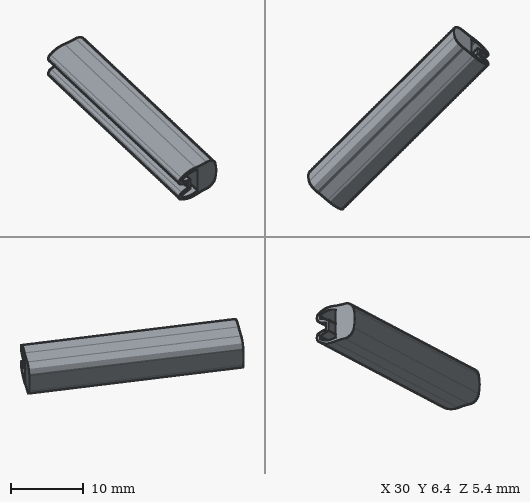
import cadquery as cq

length = 30.0
depth = 6.4
height = 5.4
back_y = depth / 2
front_y = -depth / 2
top_z = height / 2

back_edge = (3.03, 1.38)
corner_mid = (2.58, 2.2)
corner_end = (1.5, 2.58)
waist_mid = (0.6, 2.58)
crown_start = (-0.4, 2.67)
crown_peak = (-0.9, top_z)
crown_end = (-2.82, 2.1)
nose_tip = (front_y, 1.53)
nose_end = (-2.75, 0.78)

groove_floor_y = -1.68
groove_half_width = 0.48

wall = 0.45
chamber_back = (-0.03, 2.05)
chamber_peak = (-1.02, 2.22)
chamber_nose_y = -2.67
chamber_nose_top_z = 1.68
chamber_nose_bottom_z = 1.3
chamber_step = (groove_floor_y + wall, 0.8)


def mirrored(point):
    """Reflect a profile point about the plane Z = 0."""
    return (point[0], -point[1])


def outer_body():
    groove_corner = (groove_floor_y, groove_half_width)
    return (
        cq.Workplane("YZ")
        .moveTo(*mirrored(back_edge))
        .threePointArc((back_y, 0), back_edge)
        .threePointArc(corner_mid, corner_end)
        .threePointArc(waist_mid, crown_start)
        .threePointArc(crown_peak, crown_end)
        .threePointArc(nose_tip, nose_end)
        .lineTo(*groove_corner)
        .lineTo(*mirrored(groove_corner))
        .lineTo(*mirrored(nose_end))
        .threePointArc(mirrored(nose_tip), mirrored(crown_end))
        .threePointArc(mirrored(crown_peak), mirrored(crown_start))
        .threePointArc(mirrored(waist_mid), mirrored(corner_end))
        .threePointArc(mirrored(corner_mid), mirrored(back_edge))
        .close()
        .extrude(length / 2, both=True)
    )


def chamber():
    nose_top = (chamber_nose_y, chamber_nose_top_z)
    nose_bottom = (chamber_nose_y, chamber_nose_bottom_z)
    return (
        cq.Workplane("YZ")
        .moveTo(*mirrored(chamber_back))
        .lineTo(*chamber_back)
        .threePointArc(chamber_peak, nose_top)
        .lineTo(*nose_bottom)
        .lineTo(*chamber_step)
        .lineTo(*mirrored(chamber_step))
        .lineTo(*mirrored(nose_bottom))
        .lineTo(*mirrored(nose_top))
        .threePointArc(mirrored(chamber_peak), mirrored(chamber_back))
        .close()
        .extrude(length / 2, both=True)
    )


result = outer_body().cut(chamber())